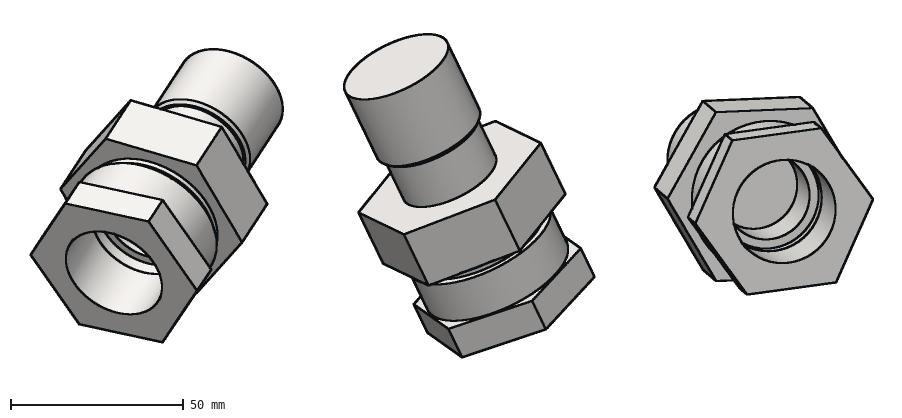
import cadquery as cq

socket_hex_end = 10.15
collar_end = 23.1
undercut_end = 25.0
nut_start = 27.0
nut_end = 45.2
sleeve_start = 59.8
overall_length = 84.6

socket_hex_corners = 53.1
socket_hex_angle = 5.5
collar_diameter = 45.0
undercut_diameter = 40.0
spigot_diameter = 42.1
bore_diameter = 30.5
bore_depth = 23.1
bore_step = 19.0
bore_step_reduction = 0.1
inner_bore_diameter = 25.0

nut_corners = 57.7
nut_angle = 0.1
nut_wall = 5.1
seat = nut_end - nut_wall

neck_diameter = 29.6
sleeve_diameter = 33.0
sleeve_lead_diameter = 31.0
sleeve_lead_length = 1.1


def cylinder(diameter, start, end):
    """Solid cylinder on the Y axis between two stations."""
    plane = cq.Plane(origin=(0, start, 0), xDir=(1, 0, 0), normal=(0, 1, 0))
    return cq.Workplane(plane).circle(diameter / 2).extrude(end - start)


def hexagon(corners, angle, start, end):
    """Hexagonal prism on the Y axis, turned from +X towards +Z by the angle."""
    plane = cq.Plane(origin=(0, start, 0), xDir=(1, 0, 0), normal=(0, 1, 0))
    prism = cq.Workplane(plane).polygon(6, corners).extrude(end - start)
    return prism.rotate((0, 0, 0), (0, 1, 0), -angle)


def make_socket_fitting():
    """Hexagon, collar, undercut and spigot around a stepped bore closed by the tailpiece."""
    body = hexagon(socket_hex_corners, socket_hex_angle, 0, socket_hex_end)
    body = body.union(cylinder(collar_diameter, socket_hex_end, collar_end))
    body = body.union(cylinder(undercut_diameter, collar_end, undercut_end))
    body = body.union(cylinder(spigot_diameter, undercut_end, seat))
    body = body.cut(cylinder(bore_diameter, 0, bore_step))
    body = body.cut(cylinder(bore_diameter - bore_step_reduction, bore_step, bore_depth))
    return body.cut(cylinder(inner_bore_diameter, bore_depth, seat))


def make_union_nut():
    """Hexagonal nut with a recess for the spigot and a hole for the neck."""
    body = hexagon(nut_corners, nut_angle, nut_start, nut_end)
    body = body.cut(cylinder(spigot_diameter, nut_start, seat))
    return body.cut(cylinder(neck_diameter, seat, nut_end))


def make_tailpiece():
    """Solid neck seated on the spigot, with a wider sleeve led in by a cone."""
    neck = cylinder(neck_diameter, seat, sleeve_start)
    sleeve = cylinder(sleeve_diameter, sleeve_start, overall_length)
    lead_width = (sleeve_diameter - sleeve_lead_diameter) / 2
    sleeve = sleeve.faces("<Y").chamfer(sleeve_lead_length, lead_width)
    return neck.union(sleeve)


socket_fitting = make_socket_fitting()
union_nut = make_union_nut()
tailpiece = make_tailpiece()

result = cq.Compound.makeCompound([socket_fitting.val(), union_nut.val(), tailpiece.val()])